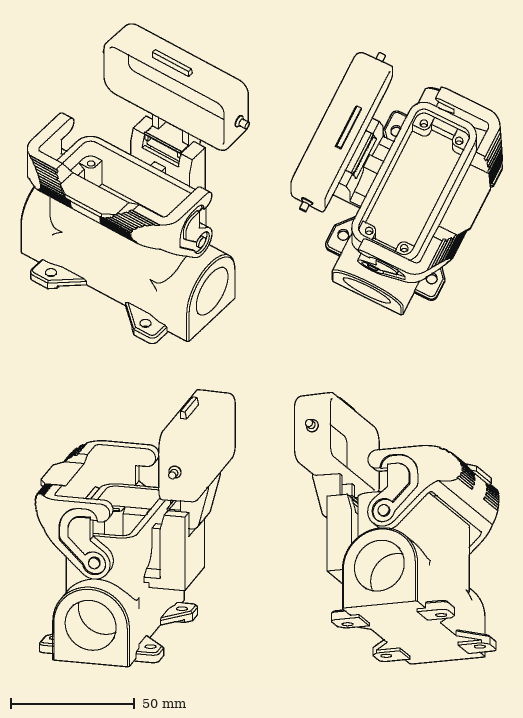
import cadquery as cq
import math


LENGTH_X = 85.0
HEIGHT_Z = 100.4
BASE_Z = 1.2

TOWER_X = 63.5
TOWER_Y = 29.5
TOWER_TOP = 52.1
TOWER_CORNER_R = 6.6
TOWER_WALL = 2.8
CAVITY_CORNER_R = 3.8
CAVITY_FLOOR = 30.1

POST_SIZE = 6.7
POST_TOP = 43.6
POST_CORNER_R = 2.5
POST_HOLE_X = 24.7
POST_HOLE_Y = 7.9
POST_HOLE_R = 1.5
POST_HOLE_DEPTH = 8.0
SHELF_WIDTH = 2.8
SHELF_DROP = 2.0

BARREL_R = 16.1
BARREL_Z = 17.6
BARREL_FLAT_END = 27.7
BARREL_RUN_OUT = 22.2
BARREL_CHAMFER = 0.7
BORE_R = 10.6
BORE_DEPTH = 20.1

FOOT_TOP = 4.0
FOOT_Y = 25.0
FOOT_SLANT_X = 21.8
FOOT_TIP_X = 9.8
FOOT_CORNER_R = 2.6
FOOT_CHAMFER = 0.8
PAD_X = 18.9
PAD_Y = 12.4
FOOT_HOLE_X = 23.9
FOOT_HOLE_Y = 20.0
FOOT_HOLE_R = 2.2

BRACKET_X = 29.9
BRACKET_FRONT = 21.5
BRACKET_BACK = 31.9
BRACKET_TOP = 57.5
BRACKET_BOTTOM = 26.0
BRACKET_SLOPE_Z = 51.2
BRACKET_SLOPE_Y = 23.2
BRACKET_LIP = 1.7
SLOT_FLOOR = 47.2
NECK_TOP = 47.1
NECK_HALF = 2.8
NECK_ARC_TOP = 40.3
NECK_ARC_END_X = 10.9
NECK_ARC_END_Z = 32.6
NECK_EDGE_Z = 30.2
NECK_BOTTOM = 28.0
LEDGE_Y = 16.9

COVER_X = 63.3
COVER_BOTTOM = 68.3
COVER_TOP = 97.5
COVER_RIM_Y = 25.4
COVER_BACK_Y = 41.0
COVER_RIM_BAND = 3.0
COVER_RIM_R = 0.5
COVER_CORNER_R = 6.2
COVER_BACK_R = 2.8
COVER_WALL = 2.6
COVER_DRAFT = 1.5
COVER_PIN_Y = 32.3
COVER_PIN_Z = 82.5
COVER_PIN_TIP = 35.8
COVER_PIN_R = 1.5
COVER_BOSS_R = 2.5
COVER_BOSS_LENGTH = 1.2

HINGE_X = 18.3
HINGE_GAP = 12.2
HINGE_FRONT = 28.4
HINGE_TIP = 23.3
HINGE_STEP_Z = 58.1
HINGE_BOTTOM = 50.6
HINGE_HEEL_Y = 35.5
HINGE_HEEL_R = 2.5
HINGE_BACK_Y = 40.2
HINGE_WEB = 2.0
HINGE_BEAD_R = 0.5
HINGE_NOTCH_Y = 24.8
HINGE_NOTCH_HALF = 7.4
HINGE_LIP_BOTTOM = 57.2
HINGE_LEG_BOTTOM = 54.5

LEVER_X = 74.9
LEVER_ARM = 5.1
LEVER_TOP = 68.0
LEVER_NOSE_Y = -28.8
LEVER_NOSE_BOTTOM = 53.8
LEVER_NOSE_START_Y = -22.1
LEVER_BAR_BACK = -18.3
LEVER_CORNER_Y = -19.7
LEVER_CORNER_R = 7.9
LEVER_INNER_R = 2.0
LEVER_FRONT_HALF = 22.3
PIVOT_Z = 42.4
PIVOT_R = 6.7
PIVOT_PIN_R = 2.3
HOOK_Y = 6.6
HOOK_BOTTOM = 60.3
HOOK_THROAT_Y = -1.7

TRACK_DEPTH = 1.2
TRACK_RING_R = 4.8
TRACK_ARC_Y = -5.6
TRACK_ARC_Z = 56.2
TRACK_INNER_R = 5.3
TRACK_OUTER_R = 9.0
TRACK_END_Y = 1.4
TRACK_INNER_BEND_Z = 52.8
TRACK_OUTER_BEND_Z = 51.3
TRACK_BEND_R = 2.5

DISH_TOP_HALF = 19.4
DISH_FLOOR_HALF = 14.2
DISH_Z = 65.9
THUMB_HALF = 9.1
THUMB_Y = -30.0
THUMB_BACK_Y = -26.7
THUMB_BOTTOM = 63.7
GRIP_INNER_X = 7.5
GRIP_COUNT = 8
GRIP_WIDTH = 1.0
GRIP_DEPTH = 0.35
GRIP_FIRST_ANGLE = -32.0
GRIP_STEP_ANGLE = 16.0

SIDES = (-1, 1)


def box(x0, x1, y0, y1, z0, z1):
    """Axis-aligned box given by its limits, in either order."""
    size = (abs(x1 - x0), abs(y1 - y0), abs(z1 - z0))
    corner = (min(x0, x1), min(y0, y1), min(z0, z1))
    return cq.Workplane("XY").box(*size, centered=False).translate(corner)


def along_x(x0, x1):
    """Y-Z sketch plane at x0 and the distance to extrude to reach x1."""
    return cq.Workplane("YZ", origin=(x0, 0, 0)), x1 - x0


def rod(x0, x1, y, z, radius):
    """Cylinder parallel to X."""
    plane, distance = along_x(x0, x1)
    return plane.center(y, z).circle(radius).extrude(distance)


def both_sides(shape):
    """The shape together with its mirror image in the plane X = 0."""
    return shape.union(shape.mirror("YZ"))


def tangent_point(point, centre, radius, side):
    """Where the line from point touches the circle; side picks left or right."""
    dy = point[0] - centre[0]
    dz = point[1] - centre[1]
    angle = math.atan2(dz, dy) + side * math.acos(radius / math.hypot(dy, dz))
    return centre[0] + radius * math.cos(angle), centre[1] + radius * math.sin(angle)


def tower():
    block = box(-TOWER_X / 2, TOWER_X / 2, -TOWER_Y / 2, TOWER_Y / 2, BASE_Z, TOWER_TOP)
    return block.edges("|Z").fillet(TOWER_CORNER_R)


def cavity():
    """Space inside the tower, with posts and sloped end shelves left standing."""
    half_x = TOWER_X / 2 - TOWER_WALL
    half_y = TOWER_Y / 2 - TOWER_WALL
    space = box(-half_x, half_x, -half_y, half_y, CAVITY_FLOOR, TOWER_TOP)
    space = space.edges("|Z").fillet(CAVITY_CORNER_R)
    post_x = half_x - POST_SIZE
    post_y = half_y - POST_SIZE
    for side in SIDES:
        for end in SIDES:
            post = box(side * post_x, side * half_x, end * post_y, end * half_y, CAVITY_FLOOR, POST_TOP)
            inner_edge = cq.selectors.NearestToPointSelector((side * post_x, end * post_y, POST_TOP / 2))
            space = space.cut(post.edges("|Z").edges(inner_edge).fillet(POST_CORNER_R))
            hole_floor = POST_TOP - POST_HOLE_DEPTH
            hole = cq.Workplane("XY", origin=(side * POST_HOLE_X, end * POST_HOLE_Y, hole_floor))
            space = space.union(hole.circle(POST_HOLE_R).extrude(POST_HOLE_DEPTH))
    shelf_x = half_x - SHELF_WIDTH
    shelf = (
        cq.Workplane("XZ", origin=(0, post_y, 0))
        .moveTo(half_x, CAVITY_FLOOR)
        .lineTo(half_x, POST_TOP)
        .lineTo(shelf_x, POST_TOP - SHELF_DROP)
        .lineTo(shelf_x, CAVITY_FLOOR)
        .close()
        .extrude(2 * post_y)
    )
    return space.cut(both_sides(shelf))


def barrel():
    """Arched cable barrel on the +X end; its flanks run into the tower."""
    plane, length = along_x(BARREL_RUN_OUT, LENGTH_X / 2)
    arch = (
        plane.moveTo(-BARREL_R, BASE_Z)
        .lineTo(-BARREL_R, BARREL_Z)
        .threePointArc((0, BARREL_Z + BARREL_R), (BARREL_R, BARREL_Z))
        .lineTo(BARREL_R, BASE_Z)
        .close()
        .extrude(length)
    )
    arch = arch.faces(">X").edges("not <Z").chamfer(BARREL_CHAMFER)
    for end in SIDES:
        wedge = (
            cq.Workplane("XY")
            .moveTo(BARREL_FLAT_END, end * BARREL_R)
            .lineTo(BARREL_RUN_OUT, end * TOWER_Y / 2)
            .lineTo(BARREL_RUN_OUT, end * BARREL_R)
            .close()
            .extrude(TOWER_TOP)
        )
        arch = arch.cut(wedge)
    return arch


def foot():
    """Mounting foot at +X, +Y with a pad that reaches the mounting face."""
    outer_x = TOWER_X / 2
    plate = (
        cq.Workplane("XY")
        .moveTo(outer_x, 0)
        .lineTo(outer_x, FOOT_Y)
        .lineTo(FOOT_SLANT_X, FOOT_Y)
        .lineTo(FOOT_TIP_X, TOWER_Y / 2)
        .lineTo(FOOT_TIP_X, 0)
        .close()
        .extrude(FOOT_TOP)
    )
    corner = cq.selectors.NearestToPointSelector((outer_x, FOOT_Y, FOOT_TOP / 2))
    plate = plate.edges("|Z").edges(corner).fillet(FOOT_CORNER_R)
    plate = plate.faces(">Z").edges().chamfer(FOOT_CHAMFER)
    keep = box(0, outer_x, PAD_Y, FOOT_Y, BASE_Z, FOOT_TOP)
    keep = keep.union(box(PAD_X, outer_x, PAD_Y, FOOT_Y, 0, FOOT_TOP))
    hole = cq.Workplane("XY").center(FOOT_HOLE_X, FOOT_HOLE_Y).circle(FOOT_HOLE_R).extrude(FOOT_TOP)
    return plate.intersect(keep).cut(hole)


def bracket():
    plane, width = along_x(-BRACKET_X / 2, BRACKET_X / 2)
    body = (
        plane.moveTo(BRACKET_BACK, BRACKET_BOTTOM)
        .lineTo(BRACKET_BACK, BRACKET_TOP)
        .lineTo(BRACKET_SLOPE_Y, BRACKET_TOP)
        .lineTo(BRACKET_FRONT, BRACKET_SLOPE_Z)
        .lineTo(BRACKET_FRONT, NECK_BOTTOM)
        .lineTo(LEDGE_Y, NECK_BOTTOM)
        .lineTo(LEDGE_Y, BRACKET_BOTTOM)
        .close()
        .extrude(width)
    )
    slot_front = BRACKET_FRONT + BRACKET_LIP
    slot = box(-HINGE_X / 2, HINGE_X / 2, slot_front, BRACKET_BACK, SLOT_FLOOR, BRACKET_TOP)
    opening = box(-HINGE_X / 2, HINGE_X / 2, BRACKET_FRONT, BRACKET_BACK, BRACKET_SLOPE_Z, BRACKET_TOP)
    return body.cut(slot).cut(opening)


def neck():
    """Flared web: a narrow column spreading through concave arcs to a wide base."""
    edge_x = BRACKET_X / 2
    arc_width = NECK_ARC_END_X - NECK_HALF
    arc_height = NECK_ARC_TOP - NECK_ARC_END_Z
    mid_x = NECK_HALF + arc_width * (1 - math.sqrt(0.5))
    mid_z = NECK_ARC_END_Z + arc_height * (1 - math.sqrt(0.5))
    return (
        cq.Workplane("XZ", origin=(0, BRACKET_FRONT, 0))
        .moveTo(-edge_x, NECK_BOTTOM)
        .lineTo(-edge_x, NECK_EDGE_Z)
        .lineTo(-NECK_ARC_END_X, NECK_ARC_END_Z)
        .threePointArc((-mid_x, mid_z), (-NECK_HALF, NECK_ARC_TOP))
        .lineTo(-NECK_HALF, NECK_TOP)
        .lineTo(NECK_HALF, NECK_TOP)
        .lineTo(NECK_HALF, NECK_ARC_TOP)
        .threePointArc((mid_x, mid_z), (NECK_ARC_END_X, NECK_ARC_END_Z))
        .lineTo(edge_x, NECK_EDGE_Z)
        .lineTo(edge_x, NECK_BOTTOM)
        .close()
        .extrude(BRACKET_FRONT - TOWER_Y / 2 + TOWER_WALL / 2)
    )


def cover_block(y0, y1, shrink, corner_r, draft):
    """Rounded slab growing toward +Y, inset by shrink on all four sides."""
    width = COVER_X - 2 * shrink
    height = COVER_TOP - COVER_BOTTOM - 2 * shrink
    middle = (COVER_TOP + COVER_BOTTOM) / 2
    outline = cq.Sketch().rect(width, height).vertices().fillet(corner_r)
    plane = cq.Workplane("XZ", origin=(0, y0, middle))
    return plane.placeSketch(outline).extrude(y0 - y1, taper=draft)


def cover():
    band_y = COVER_RIM_Y + COVER_RIM_BAND
    shell = cover_block(band_y, COVER_BACK_Y, 0, COVER_CORNER_R, COVER_DRAFT)
    shell = shell.faces(">Y").edges().fillet(COVER_BACK_R)
    shell = shell.union(cover_block(COVER_RIM_Y, band_y, 0, COVER_CORNER_R, 0))
    inside_r = COVER_CORNER_R - COVER_WALL
    mouth = cover_block(COVER_RIM_Y, band_y, COVER_WALL, inside_r, 0)
    inside = cover_block(band_y, COVER_BACK_Y - COVER_WALL, COVER_WALL, inside_r, COVER_DRAFT)
    shell = shell.cut(mouth).cut(inside)
    shell = shell.faces("<Y").edges().fillet(COVER_RIM_R)
    return shell.union(thumb_tab()).union(both_sides(cover_pin()))


def thumb_tab():
    """Small tab on top of the cover, its back face leaning."""
    plane, width = along_x(-HINGE_X / 2, HINGE_X / 2)
    front = COVER_RIM_Y + COVER_RIM_BAND
    root = COVER_TOP - COVER_WALL / 2
    lean = 0.7
    thickness = 1.9
    return (
        plane.moveTo(front, root)
        .lineTo(front, HEIGHT_Z)
        .lineTo(front + thickness, HEIGHT_Z)
        .lineTo(front + thickness + lean, COVER_TOP)
        .lineTo(front + thickness + lean, root)
        .close()
        .extrude(width)
    )


def cover_pin():
    """Locking pin on the +X end of the cover, on a conical boss."""
    wall_x = COVER_X / 2 - COVER_WALL / 2
    boss_x = COVER_X / 2 + COVER_BOSS_LENGTH
    pin = rod(wall_x, COVER_PIN_TIP, COVER_PIN_Y, COVER_PIN_Z, COVER_PIN_R)
    boss = rod(wall_x, boss_x, COVER_PIN_Y, COVER_PIN_Z, COVER_BOSS_R)
    return pin.union(boss.faces(">X").chamfer(COVER_BOSS_R - COVER_PIN_R - 0.05))


def cover_hinge():
    """Tapered hinge leaf under the cover, hollowed between its two arms."""
    top = COVER_BOTTOM + COVER_WALL / 2
    plane, width = along_x(-HINGE_X / 2, HINGE_X / 2)
    leaf = (
        plane.moveTo(HINGE_FRONT, top)
        .lineTo(HINGE_FRONT, HINGE_STEP_Z)
        .lineTo(HINGE_TIP, HINGE_STEP_Z)
        .lineTo(HINGE_TIP, HINGE_BOTTOM)
        .lineTo(HINGE_HEEL_Y, HINGE_BOTTOM)
        .lineTo(HINGE_BACK_Y, COVER_BOTTOM)
        .lineTo(HINGE_BACK_Y, top)
        .close()
        .extrude(width)
    )
    heel = cq.selectors.NearestToPointSelector((0, HINGE_HEEL_Y, HINGE_BOTTOM))
    leaf = leaf.edges("|X").edges(heel).fillet(HINGE_HEEL_R)
    plane, gap = along_x(-HINGE_GAP / 2, HINGE_GAP / 2)
    hollow = (
        plane.moveTo(HINGE_FRONT, COVER_BOTTOM)
        .lineTo(HINGE_FRONT, HINGE_STEP_Z)
        .lineTo(HINGE_HEEL_Y - HINGE_WEB, HINGE_STEP_Z)
        .lineTo(HINGE_BACK_Y - HINGE_WEB, COVER_BOTTOM)
        .close()
        .extrude(gap)
    )
    bead = rod(-HINGE_X / 2, HINGE_X / 2, HINGE_TIP, HINGE_STEP_Z, HINGE_BEAD_R)
    half = HINGE_X / 2
    notch = box(-half, half, HINGE_TIP, HINGE_NOTCH_Y, HINGE_BOTTOM, HINGE_LEG_BOTTOM)
    notch = notch.union(
        box(-HINGE_NOTCH_HALF, HINGE_NOTCH_HALF, HINGE_TIP, HINGE_NOTCH_Y, HINGE_BOTTOM, HINGE_LIP_BOTTOM)
    )
    return leaf.cut(hollow).cut(notch).union(bead)


def lever_profile():
    """Side outline of the lever, extruded over its full width."""
    plane, width = along_x(-LEVER_X / 2, LEVER_X / 2)
    pivot = (0, PIVOT_Z)
    pivot_far_side = (PIVOT_R * math.sqrt(0.5), PIVOT_Z - PIVOT_R * math.sqrt(0.5))
    throat = (HOOK_THROAT_Y, TOWER_TOP)
    nose_bottom = (LEVER_NOSE_START_Y, LEVER_NOSE_BOTTOM)
    nose_front = (LEVER_NOSE_Y, (LEVER_TOP + LEVER_NOSE_BOTTOM) / 2)
    hook_r = (LEVER_TOP - HOOK_BOTTOM) / 2
    return (
        plane.moveTo(*throat)
        .lineTo(HOOK_THROAT_Y, HOOK_BOTTOM)
        .lineTo(HOOK_Y - hook_r, HOOK_BOTTOM)
        .threePointArc((HOOK_Y, HOOK_BOTTOM + hook_r), (HOOK_Y - hook_r, LEVER_TOP))
        .lineTo(LEVER_NOSE_START_Y, LEVER_TOP)
        .threePointArc(nose_front, nose_bottom)
        .lineTo(*tangent_point(nose_bottom, pivot, PIVOT_R, 1))
        .threePointArc(pivot_far_side, tangent_point(throat, pivot, PIVOT_R, -1))
        .close()
        .extrude(width)
    )


def lever_plan():
    """U-shaped plan of the lever with slanted front facets."""
    outer = LEVER_X / 2
    inner = outer - LEVER_ARM
    block = (
        cq.Workplane("XY")
        .moveTo(-outer, HOOK_Y)
        .lineTo(-outer, LEVER_CORNER_Y)
        .lineTo(-LEVER_FRONT_HALF, LEVER_NOSE_Y)
        .lineTo(LEVER_FRONT_HALF, LEVER_NOSE_Y)
        .lineTo(outer, LEVER_CORNER_Y)
        .lineTo(outer, HOOK_Y + PIVOT_R)
        .lineTo(-outer, HOOK_Y + PIVOT_R)
        .close()
        .extrude(HEIGHT_Z)
    )
    for side in SIDES:
        corner = cq.selectors.NearestToPointSelector((side * outer, LEVER_CORNER_Y, HEIGHT_Z / 2))
        block = block.edges("|Z").edges(corner).fillet(LEVER_CORNER_R)
    gap = box(-inner, inner, LEVER_BAR_BACK, HOOK_Y + 2 * PIVOT_R, 0, HEIGHT_Z)
    return block.cut(gap.edges("|Z and <Y").fillet(LEVER_INNER_R))


def dish():
    """Shallow trapezoidal dish across the top of the cross bar."""
    return (
        cq.Workplane("XZ", origin=(0, LEVER_BAR_BACK, 0))
        .moveTo(-DISH_TOP_HALF, LEVER_TOP)
        .lineTo(-DISH_FLOOR_HALF, DISH_Z)
        .lineTo(DISH_FLOOR_HALF, DISH_Z)
        .lineTo(DISH_TOP_HALF, LEVER_TOP)
        .close()
        .extrude(LEVER_BAR_BACK - THUMB_Y)
    )


def thumb_block():
    """Finger rest that projects in front of the dish."""
    return (
        cq.Workplane("XY", origin=(0, 0, THUMB_BOTTOM))
        .moveTo(-DISH_FLOOR_HALF, LEVER_BAR_BACK)
        .lineTo(-DISH_FLOOR_HALF, THUMB_BACK_Y)
        .lineTo(-THUMB_HALF, THUMB_Y)
        .lineTo(THUMB_HALF, THUMB_Y)
        .lineTo(DISH_FLOOR_HALF, THUMB_BACK_Y)
        .lineTo(DISH_FLOOR_HALF, LEVER_BAR_BACK)
        .close()
        .extrude(DISH_Z - THUMB_BOTTOM)
    )


def grip_grooves():
    """Fine grooves along X spaced around the rounded nose of the cross bar."""
    nose_z = (LEVER_TOP + LEVER_NOSE_BOTTOM) / 2
    rise = (LEVER_TOP - LEVER_NOSE_BOTTOM) / 2
    sag = LEVER_NOSE_START_Y - LEVER_NOSE_Y
    nose_r = (rise ** 2 + sag ** 2) / (2 * sag)
    nose_y = LEVER_NOSE_Y + nose_r
    length = LEVER_X / 2 - GRIP_INNER_X
    grooves = cq.Workplane("XY")
    for index in range(GRIP_COUNT):
        angle = GRIP_FIRST_ANGLE + index * GRIP_STEP_ANGLE
        cutter = (
            cq.Workplane("XY")
            .box(length, 2 * GRIP_DEPTH, GRIP_WIDTH)
            .translate((GRIP_INNER_X + length / 2, -nose_r, 0))
            .rotate((0, 0, 0), (1, 0, 0), -angle)
            .translate((0, nose_y, nose_z))
        )
        grooves = grooves.add(cutter)
    return grooves.combine()


def track():
    """Curved recess on the outer face of the +X arm, around the pivot pin head."""
    outer = LEVER_X / 2
    floor = outer - TRACK_DEPTH
    ring = rod(floor, outer, 0, PIVOT_Z, TRACK_RING_R)
    plane, depth = along_x(floor, outer)
    half = math.sqrt(0.5)
    inner_y = TRACK_ARC_Y - TRACK_INNER_R
    outer_y = TRACK_ARC_Y - TRACK_OUTER_R
    inner_top = TRACK_ARC_Z + TRACK_INNER_R
    outer_top = TRACK_ARC_Z + TRACK_OUTER_R
    inner_middle = (TRACK_ARC_Y - TRACK_INNER_R * half, TRACK_ARC_Z + TRACK_INNER_R * half)
    outer_middle = (TRACK_ARC_Y - TRACK_OUTER_R * half, TRACK_ARC_Z + TRACK_OUTER_R * half)
    end_r = outer_top - HOOK_BOTTOM
    end_middle = (TRACK_END_Y - end_r * (1 - half), HOOK_BOTTOM + end_r * half)
    inner_drop = -TRACK_RING_R / 2 - inner_y
    outer_drop = -TRACK_RING_R * half - outer_y
    band = (
        plane.moveTo(HOOK_THROAT_Y, HOOK_BOTTOM)
        .lineTo(HOOK_THROAT_Y, inner_top)
        .lineTo(TRACK_ARC_Y, inner_top)
        .threePointArc(inner_middle, (inner_y, TRACK_ARC_Z))
        .lineTo(inner_y, TRACK_INNER_BEND_Z)
        .lineTo(inner_y + inner_drop, TRACK_INNER_BEND_Z - inner_drop)
        .lineTo(outer_y + outer_drop, TRACK_OUTER_BEND_Z - outer_drop)
        .lineTo(outer_y, TRACK_OUTER_BEND_Z)
        .lineTo(outer_y, TRACK_ARC_Z)
        .threePointArc(outer_middle, (TRACK_ARC_Y, outer_top))
        .lineTo(TRACK_END_Y - end_r, outer_top)
        .threePointArc(end_middle, (TRACK_END_Y, HOOK_BOTTOM))
        .close()
        .extrude(depth)
    )
    bend = cq.selectors.NearestToPointSelector((outer, outer_y, TRACK_OUTER_BEND_Z))
    band = band.edges("|X").edges(bend).fillet(TRACK_BEND_R)
    return ring.union(band)


def lever():
    body = lever_profile().intersect(lever_plan())
    body = body.cut(both_sides(grip_grooves())).cut(dish()).union(thumb_block())
    body = body.cut(both_sides(track()))
    pin = rod(TOWER_X / 2 - TOWER_WALL / 2, LEVER_X / 2, 0, PIVOT_Z, PIVOT_PIN_R)
    return body.union(both_sides(pin))


feet = both_sides(foot())
feet = feet.union(feet.mirror("XZ"))
bore = rod(LENGTH_X / 2 - BORE_DEPTH, LENGTH_X / 2, 0, BARREL_Z, BORE_R)

housing = tower().union(both_sides(barrel())).union(feet).union(neck()).union(bracket())
housing = housing.cut(cavity()).cut(both_sides(bore))
result = housing.union(cover_hinge()).union(cover()).union(lever())